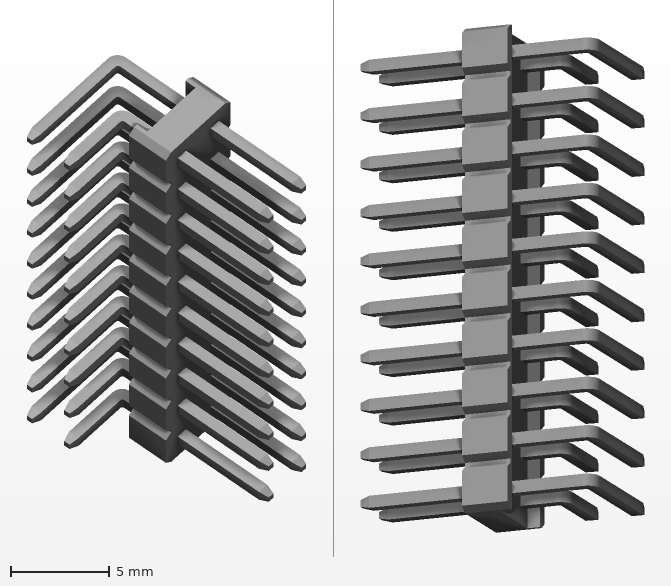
import cadquery as cq

ROW_PITCH = 2.55
ROWS = 10
HEIGHT = ROW_PITCH * ROWS
COLUMN_PITCH = ROW_PITCH

BODY_X = 2.5
BODY_Y = 5.0
RECESS_DEPTH = 0.69
LIP_THICKNESS = 0.64
BEVEL_Y = 0.4
BEVEL_Z = 0.3
NOTCH_FLOOR = 0.2

PIN_WIDTH = 0.64
TIP_LENGTH = 0.53
TIP_WIDTH = 0.35
INNER_BEND_RADIUS = 0.15
OUTER_BEND_RADIUS = 0.65
LENGTH_X = 12.88
LENGTH_Y = 8.0
LEG_PITCH = 2.51
LEG_FACE_X = -5.65
PIN_END_X = LEG_FACE_X + LENGTH_X
PIN_END_Y = BODY_Y / 2 - LENGTH_Y


def make_body():
    """Rail of bevelled segments with a recess along its -X face."""
    face_y = BODY_Y / 2
    floor_y = face_y - BEVEL_Y

    side = []
    for segment in range(ROWS):
        bottom = segment * ROW_PITCH - HEIGHT / 2
        top = bottom + ROW_PITCH
        if segment > 0:
            bottom += NOTCH_FLOOR / 2
        if segment < ROWS - 1:
            top -= NOTCH_FLOOR / 2
        side += [
            (floor_y, bottom),
            (face_y, bottom + BEVEL_Z),
            (face_y, top - BEVEL_Z),
            (floor_y, top),
        ]
    opposite_side = [(-y, z) for y, z in reversed(side)]
    rail = (
        cq.Workplane("YZ")
        .polyline(side + opposite_side)
        .close()
        .extrude(BODY_X / 2, both=True)
    )

    recess = cq.Workplane("XY").box(RECESS_DEPTH, BODY_Y - 2 * LIP_THICKNESS, HEIGHT)
    return rail.cut(recess.translate(((RECESS_DEPTH - BODY_X) / 2, 0, 0)))


def make_tip(end, inward):
    """Square tip with its small face centred on `end`, widening along `inward`."""
    plane = cq.Plane(origin=end, xDir=(0, 0, 1), normal=inward)
    return (
        cq.Workplane(plane)
        .rect(TIP_WIDTH, TIP_WIDTH)
        .workplane(offset=TIP_LENGTH)
        .rect(PIN_WIDTH, PIN_WIDTH)
        .loft(ruled=True)
    )


def make_pin(column_y, face_x):
    """Right-angle pin at Z = 0: one leg along +X at `column_y`, one along -Y from `face_x`."""
    half = PIN_WIDTH / 2
    straight_x = PIN_END_X - TIP_LENGTH
    straight_y = PIN_END_Y + TIP_LENGTH
    outer_y = column_y + half
    inner_y = column_y - half
    inner_x = face_x + PIN_WIDTH
    shank = (
        cq.Workplane("XY")
        .moveTo(face_x, straight_y)
        .lineTo(face_x, outer_y - OUTER_BEND_RADIUS)
        .radiusArc((face_x + OUTER_BEND_RADIUS, outer_y), OUTER_BEND_RADIUS)
        .lineTo(straight_x, outer_y)
        .lineTo(straight_x, inner_y)
        .lineTo(inner_x + INNER_BEND_RADIUS, inner_y)
        .radiusArc((inner_x, inner_y - INNER_BEND_RADIUS), -INNER_BEND_RADIUS)
        .lineTo(inner_x, straight_y)
        .close()
        .extrude(half, both=True)
    )
    x_tip = make_tip((PIN_END_X, column_y, 0), (-1, 0, 0))
    y_tip = make_tip((face_x + half, PIN_END_Y, 0), (0, 1, 0))
    return shank.union(x_tip).union(y_tip)


result = make_body()
long_pin = make_pin(COLUMN_PITCH / 2, LEG_FACE_X)
short_pin = make_pin(-COLUMN_PITCH / 2, LEG_FACE_X + LEG_PITCH)
for row in range(ROWS):
    row_z = (row + 0.5) * ROW_PITCH - HEIGHT / 2
    for pin in (long_pin, short_pin):
        result = result.union(pin.translate((0, 0, row_z)))